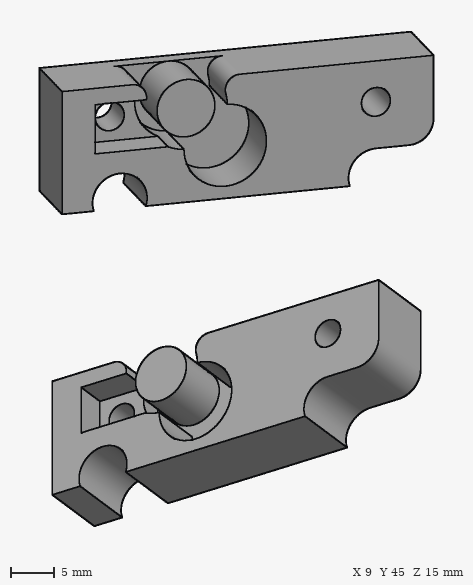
import cadquery as cq
import math

width = 9.0
length = 45.0
height = 15.0
end_corner_radius = 3.0

hole_diameter = 3.5
hole_z = 10.0
hole_positions_y = (7.0, 38.0)
relief_radius = 3.3
relief_z = 1.0
relief_top = relief_z + relief_radius

web_thickness = 2.0
post_radius = 3.5
post_y = 15.0
post_z = height - post_radius
groove_radius = 5.0
lip_radius = 1.75

recess_depth = 4.0
recess_height = 6.0
recess_start_y = hole_positions_y[0] - recess_height / 2
recess_end_y = post_y

hollow_radius = 5.0
hollow_y = 19.75
hollow_z = 6.5


def bar_along_x(radius, y, z, start_x=0.0):
    """Cylinder parallel to X that ends on the +X face."""
    plane = cq.Workplane("YZ", origin=(start_x, y, z))
    return plane.circle(radius).extrude(width - start_x)


def make_block():
    """Plain block with holes, reliefs and a stepped, rounded +Y end."""
    block = cq.Workplane("XY").box(width, length, height, centered=False)
    step_y = hole_positions_y[1]
    step = cq.Workplane("XY", origin=(0, step_y, 0)).box(
        width, length - step_y, relief_top, centered=False
    )
    block = block.cut(step)
    block = block.edges(cq.selectors.NearestToPointSelector((width / 2, length, relief_top)))
    block = block.fillet(end_corner_radius)
    for y in hole_positions_y:
        block = block.cut(bar_along_x(hole_diameter / 2, y, hole_z))
        block = block.cut(bar_along_x(relief_radius, y, relief_z))
    return block


def make_groove():
    """Round pocket whose mouth in the top face is flared by two tangent lips."""
    lip_z = height - lip_radius
    centre_distance = groove_radius + lip_radius
    lip_offset = math.sqrt(centre_distance**2 - (lip_z - post_z) ** 2)
    tangent_ratio = groove_radius / centre_distance
    tangent_offset = lip_offset * tangent_ratio
    tangent_z = post_z + (lip_z - post_z) * tangent_ratio
    lip_angle = (math.atan2(lip_z - post_z, lip_offset) + math.pi / 2) / 2
    lip_mid_offset = lip_offset - lip_radius * math.sin(lip_angle)
    lip_mid_z = lip_z + lip_radius * math.cos(lip_angle)
    return (
        cq.Workplane("YZ", origin=(web_thickness, 0, 0))
        .moveTo(post_y + lip_offset, height)
        .threePointArc(
            (post_y + lip_mid_offset, lip_mid_z),
            (post_y + tangent_offset, tangent_z),
        )
        .threePointArc(
            (post_y, post_z - groove_radius),
            (post_y - tangent_offset, tangent_z),
        )
        .threePointArc(
            (post_y - lip_mid_offset, lip_mid_z),
            (post_y - lip_offset, height),
        )
        .close()
        .extrude(width - web_thickness)
    )


def make_recess():
    """Flat-floored recess centred on the height of the cross holes."""
    corner = (width - recess_depth, recess_start_y, hole_z - recess_height / 2)
    return cq.Workplane("XY", origin=corner).box(
        recess_depth, recess_end_y - recess_start_y, recess_height, centered=False
    )


post = bar_along_x(post_radius, post_y, post_z, web_thickness)
hollow = bar_along_x(hollow_radius, hollow_y, hollow_z, web_thickness)
result = make_block().cut(make_groove()).cut(make_recess()).cut(hollow).union(post)